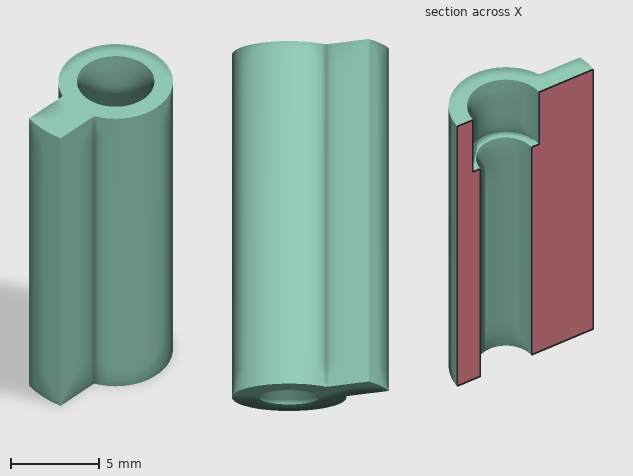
import cadquery as cq

length = 20.0
outer_diameter = 6.5
fin_reach = 5.85
fin_width = 2.5
bore_diameter = 4.4
through_diameter = 3.4
bore_depth = 4.0


def make_tube():
    return cq.Workplane("XY").circle(outer_diameter / 2).extrude(length)


def make_fin():
    """Radial fin toward -Y, its tip rounded about the tube axis."""
    blank = (
        cq.Workplane("XY")
        .center(0, -fin_reach / 2)
        .rect(fin_width, fin_reach)
        .extrude(length)
    )
    tip_cylinder = cq.Workplane("XY").circle(fin_reach).extrude(length)
    return blank.intersect(tip_cylinder)


def cut_stepped_bore(body):
    """Narrow hole right through, opened out to the wide bore from the top."""
    return (
        body.faces(">Z")
        .workplane(origin=(0, 0, length))
        .cboreHole(through_diameter, bore_diameter, bore_depth)
    )


result = cut_stepped_bore(make_tube().union(make_fin()))